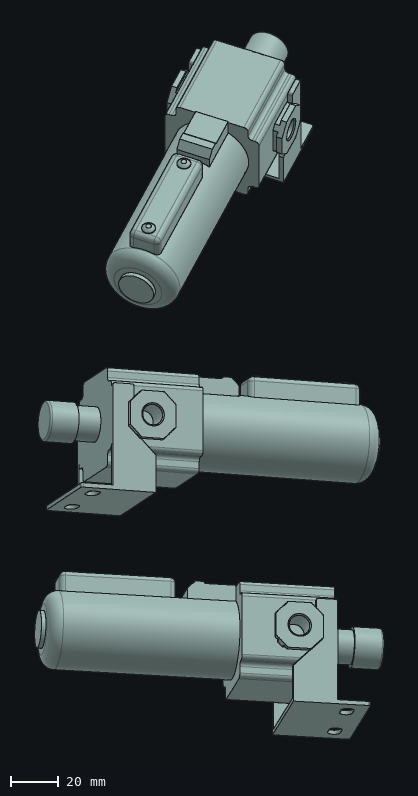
import cadquery as cq
import math


BODY_SIZE = 42.9
BODY_LENGTH = 40.6
HALF_BODY = BODY_SIZE / 2
RAISED_HALF_WIDTH = 16.4
SHOULDER_HEIGHT = 14.8
PROFILE_RADIUS = 1.9

STEM_DIAMETER = 15.0
KNOB_DIAMETER = 17.6
KNOB_LENGTH = 12.6
KNOB_REAR = 63.3
KNOB_ROUNDING = 0.9

OVERALL_LENGTH = 146.5
BOWL_RADIUS = 16.7
BOWL_ROUNDING = 5.9
BOSS_DIAMETER = 16.0
BOSS_LENGTH = 1.9
BOWL_LENGTH = OVERALL_LENGTH - KNOB_REAR - BOSS_LENGTH

LATCH_WIDTH = 14.8
LATCH_LENGTH = 20.7
LATCH_TOP = 22.1
LATCH_RIDGE_TOP = 23.0
LATCH_RIDGE_START = 13.0
LATCH_RIDGE_STEP = 0.9
LATCH_SLOPE_START = 17.5
LATCH_SLOPE_DROP = LATCH_LENGTH - LATCH_SLOPE_START

BOX_WIDTH = 13.9
BOX_REAR = -25.3
BOX_FRONT = -75.0
BOX_TOP = 24.6
BOX_ROUNDING = 2.3
SCREW_RADIUS = 3.0
SCREW_FLAT_RADIUS = 1.2
SCREW_RIM_HEIGHT = 0.3
SCREW_DOME_HEIGHT = 1.2
SCREW_INSET = 5.4

PORT_Y = 23.7
FLANGE_SIZE = 20.2
FLANGE_CORNER = 5.1
FLANGE_FACE_X = 26.2
NECK_SIZE = 17.1
NECK_CORNER = 2.0
PORT_DIAMETER = 8.8
PORT_MOUTH_CHAMFER = 0.6
PORT_DEPTH = 13.2

SIDE_THICKNESS = 2.2
BASE_THICKNESS = 1.9
BRACKET_HALF_WIDTH = HALF_BODY + SIDE_THICKNESS
BRACKET_BOTTOM = -33.0
BRACKET_FRONT = 21.5
BRACKET_REAR = 54.6
ARM_TOP = 13.0
ARM_FRONT = 31.4
ARM_SLOPE_BOTTOM = -16.8
ARM_SLOPE_TOP = ARM_SLOPE_BOTTOM + ARM_FRONT - BRACKET_FRONT
ARM_ROUNDING = 0.7
FOOT_ROUNDING = 1.0
SLOT_LENGTH = 8.5
SLOT_WIDTH = 5.4
SLOT_X = 13.6
SLOT_Y = 46.3

OVERLAP = 1.5


def rod(diameter, y_start, y_end):
    """Cylinder on the Y axis."""
    disc = cq.Workplane("XZ", origin=(0, y_end, 0)).circle(diameter / 2)
    return disc.extrude(y_end - y_start)


def block(x_range, y_range, z_range):
    """Axis-aligned box given by its limits."""
    spans = [high - low for low, high in (x_range, y_range, z_range)]
    corner = (x_range[0], y_range[0], z_range[0])
    return cq.Workplane("XY").box(*spans, centered=False).translate(corner)


def make_body():
    """Extruded square with stepped, rounded corners."""
    wide = block((-HALF_BODY, HALF_BODY), (0, BODY_LENGTH), (-SHOULDER_HEIGHT, SHOULDER_HEIGHT))
    tall = block((-RAISED_HALF_WIDTH, RAISED_HALF_WIDTH), (0, BODY_LENGTH), (-HALF_BODY, HALF_BODY))
    return wide.union(tall).edges("|Y").fillet(PROFILE_RADIUS)


def make_knob():
    """Stem and wider knob with a rounded rear edge."""
    stem = rod(STEM_DIAMETER, BODY_LENGTH - OVERLAP, KNOB_REAR - OVERLAP)
    knob = rod(KNOB_DIAMETER, KNOB_REAR - KNOB_LENGTH, KNOB_REAR)
    return stem.union(knob.edges(">Y").fillet(KNOB_ROUNDING))


def make_bowl():
    """Round bowl with a rounded front edge and a short boss."""
    bowl = rod(2 * BOWL_RADIUS, -BOWL_LENGTH, OVERLAP).edges("<Y").fillet(BOWL_ROUNDING)
    boss = rod(BOSS_DIAMETER, -BOWL_LENGTH - BOSS_LENGTH, -BOWL_LENGTH + OVERLAP)
    return bowl.union(boss)


def make_latch():
    """Tongue along the top of the bowl with a low ridge and a sloped tip."""
    side_outline = [
        (0, 0),
        (0, LATCH_TOP),
        (-LATCH_RIDGE_START, LATCH_TOP),
        (-LATCH_RIDGE_START - LATCH_RIDGE_STEP, LATCH_RIDGE_TOP),
        (-LATCH_SLOPE_START, LATCH_RIDGE_TOP),
        (-LATCH_LENGTH, LATCH_RIDGE_TOP - LATCH_SLOPE_DROP),
        (-LATCH_LENGTH, 0),
    ]
    return cq.Workplane("YZ").polyline(side_outline).close().extrude(LATCH_WIDTH / 2, both=True)


def make_screw(y):
    """Screw head: a thin round rim under a spherical dome with a small flat on top."""
    centre_drop = (SCREW_RADIUS**2 - SCREW_FLAT_RADIUS**2 - SCREW_DOME_HEIGHT**2) / (2 * SCREW_DOME_HEIGHT)
    dome_radius = math.hypot(SCREW_RADIUS, centre_drop)
    mid_radius = (SCREW_RADIUS + SCREW_FLAT_RADIUS) / 2
    mid_height = math.sqrt(dome_radius**2 - mid_radius**2) - centre_drop
    profile = (
        cq.Workplane("XZ")
        .moveTo(0, -OVERLAP)
        .lineTo(SCREW_RADIUS, -OVERLAP)
        .lineTo(SCREW_RADIUS, 0)
        .threePointArc((mid_radius, mid_height), (SCREW_FLAT_RADIUS, SCREW_DOME_HEIGHT))
        .lineTo(0, SCREW_DOME_HEIGHT)
        .close()
    )
    head = profile.revolve(axisStart=(0, 0), axisEnd=(0, 1))
    return head.translate((0, y, BOX_TOP + SCREW_RIM_HEIGHT))


def make_sight_box():
    """Rounded box on top of the bowl, held by a screw near each end."""
    box = block((-BOX_WIDTH / 2, BOX_WIDTH / 2), (BOX_FRONT, BOX_REAR), (0, BOX_TOP))
    box = box.edges("|Z or >Z").fillet(BOX_ROUNDING)
    for y in (BOX_REAR - SCREW_INSET, BOX_FRONT + SCREW_INSET):
        box = box.union(make_screw(y))
    return box


def octagon(size, corner, x_start, x_end):
    """Square plate across X, centred on the port, with its corners cut at 45 degrees."""
    plate = cq.Workplane("YZ", origin=(x_start, PORT_Y, 0)).rect(size, size).extrude(x_end - x_start)
    return plate.edges("|X").chamfer(corner)


def make_port():
    """Neck and flange on the +X side."""
    neck = octagon(NECK_SIZE, NECK_CORNER, HALF_BODY - OVERLAP, BRACKET_HALF_WIDTH)
    flange = octagon(FLANGE_SIZE, FLANGE_CORNER, BRACKET_HALF_WIDTH, FLANGE_FACE_X)
    return neck.union(flange)


def make_port_hole():
    """Blind hole on the +X side, widened by a chamfer at its mouth."""
    radius = PORT_DIAMETER / 2
    mouth_radius = radius + PORT_MOUTH_CHAMFER
    floor_x = FLANGE_FACE_X - PORT_DEPTH
    profile = [
        (floor_x, 0),
        (floor_x, radius),
        (FLANGE_FACE_X - PORT_MOUTH_CHAMFER, radius),
        (FLANGE_FACE_X, mouth_radius),
        (FLANGE_FACE_X, 0),
    ]
    section = cq.Workplane("XY").polyline(profile).close()
    hole = section.revolve(axisStart=(0, 0), axisEnd=(1, 0))
    return hole.translate((0, PORT_Y, 0))


def make_bracket():
    """U-shaped bracket: two arms beside the body, a base, and a slotted foot behind."""
    arm_outline = [
        (BRACKET_FRONT, BRACKET_BOTTOM),
        (BRACKET_FRONT, ARM_SLOPE_BOTTOM),
        (ARM_FRONT, ARM_SLOPE_TOP),
        (ARM_FRONT, ARM_TOP),
        (BODY_LENGTH, ARM_TOP),
        (BODY_LENGTH, BRACKET_BOTTOM),
    ]
    arm = cq.Workplane("YZ", origin=(HALF_BODY, 0, 0)).polyline(arm_outline).close().extrude(SIDE_THICKNESS)
    arm = arm.faces(">Z").edges("|X").fillet(ARM_ROUNDING)
    base = block(
        (-BRACKET_HALF_WIDTH, BRACKET_HALF_WIDTH),
        (BRACKET_FRONT, BRACKET_REAR),
        (BRACKET_BOTTOM, BRACKET_BOTTOM + BASE_THICKNESS),
    )
    base = base.faces(">Y").edges("|Z").fillet(FOOT_ROUNDING)
    slots = (
        cq.Workplane("XY", origin=(0, 0, BRACKET_BOTTOM))
        .pushPoints([(-SLOT_X, SLOT_Y), (SLOT_X, SLOT_Y)])
        .slot2D(SLOT_LENGTH, SLOT_WIDTH)
        .extrude(BASE_THICKNESS)
    )
    return base.cut(slots).union(arm).union(arm.mirror("YZ"))


part = make_body()
for piece in (make_knob(), make_bowl(), make_latch(), make_sight_box(), make_bracket()):
    part = part.union(piece)

port = make_port()
port_hole = make_port_hole()
part = part.union(port).union(port.mirror("YZ"))
result = part.cut(port_hole).cut(port_hole.mirror("YZ"))